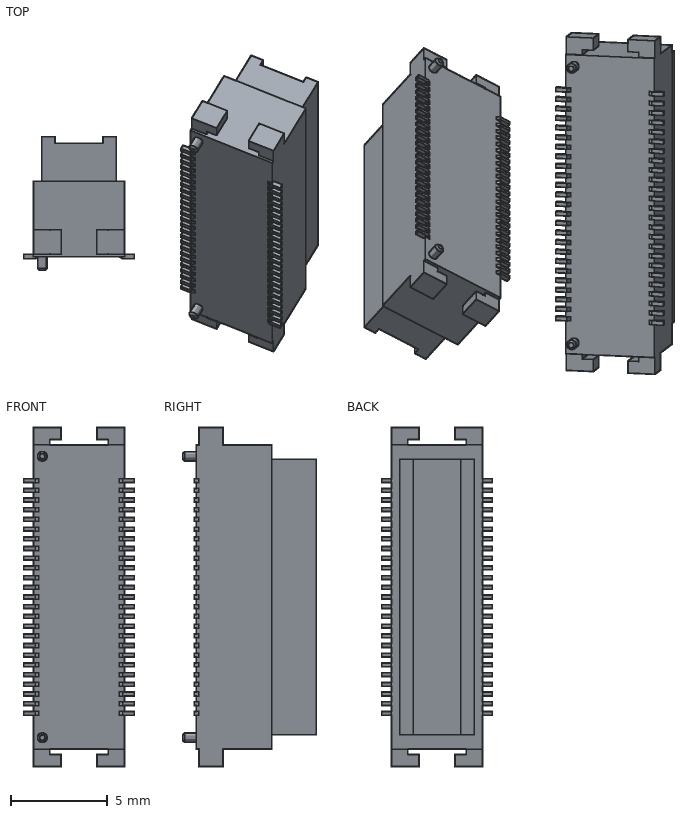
import cadquery as cq

LENGTH = 17.5
SPAN_X = 5.7
DEPTH_Y = 6.9

BODY_WIDTH = 4.7
BODY_DEPTH = 3.9
BODY_LENGTH = 15.7

PEG_DIAMETER = 0.49
PEG_HEIGHT = 0.7
PEG_CHAMFER = 0.1
PEG_X = -1.89
PEG_SPACING = 14.5

PLUG_WIDTH = 3.85
PLUG_DEPTH = DEPTH_Y - BODY_DEPTH - PEG_HEIGHT
PLUG_LENGTH = 14.21
CHANNEL_WIDTH = 2.47
CHANNEL_DEPTH = 0.33

HOOK_WIDTH = 1.44
HOOK_FOOT_WIDTH = 0.85
HOOK_HEIGHT = (LENGTH - BODY_LENGTH) / 2
HOOK_GAP = 0.26
HOOK_DEPTH = 1.25
HOOK_SETBACK = 0.14

TAIL_COUNT = 25
TAIL_ROW_LENGTH = 12.0
TAIL_PITCH = TAIL_ROW_LENGTH / (TAIL_COUNT - 1)
TAIL_WIDTH = 0.21
TAIL_LENGTH = 0.77
TAIL_SETBACK = 0.14
TAIL_STANDOFF = 0.1
TAIL_SLOPE_RUN = 0.18

TIP_Y = -DEPTH_Y / 2
FACE_Y = TIP_Y + PEG_HEIGHT
SHOULDER_Y = FACE_Y + BODY_DEPTH


def block(width, depth, length, start_y):
    """Box centred on X and Z that grows toward +Y from start_y."""
    return cq.Workplane("XY").box(width, depth, length).translate((0, start_y + depth / 2, 0))


def make_plug():
    plug = block(PLUG_WIDTH, PLUG_DEPTH, PLUG_LENGTH, SHOULDER_Y)
    channel_floor_y = SHOULDER_Y + PLUG_DEPTH - CHANNEL_DEPTH
    return plug.cut(block(CHANNEL_WIDTH, CHANNEL_DEPTH, PLUG_LENGTH, channel_floor_y))


def make_hook():
    """Hook at the -X, +Z corner; its toe points inward."""
    outer_x = -BODY_WIDTH / 2
    base_z = BODY_LENGTH / 2
    outline = [
        (outer_x, base_z),
        (outer_x, base_z + HOOK_HEIGHT),
        (outer_x + HOOK_WIDTH, base_z + HOOK_HEIGHT),
        (outer_x + HOOK_WIDTH, base_z + HOOK_GAP),
        (outer_x + HOOK_FOOT_WIDTH, base_z + HOOK_GAP),
        (outer_x + HOOK_FOOT_WIDTH, base_z),
    ]
    plane = cq.Workplane("XZ", origin=(0, FACE_Y + HOOK_SETBACK, 0))
    return plane.polyline(outline).close().extrude(-HOOK_DEPTH)


def make_peg(z):
    plane = cq.Workplane("XZ", origin=(PEG_X, FACE_Y, z))
    return plane.circle(PEG_DIAMETER / 2).extrude(PEG_HEIGHT).faces("<Y").chamfer(PEG_CHAMFER)


def make_tail(z):
    """Tail on the -X side; its inner end slopes back from the soldering surface."""
    outer_x = -SPAN_X / 2
    inner_x = outer_x + TAIL_LENGTH
    top_y = FACE_Y + TAIL_SETBACK
    solder_y = FACE_Y - TAIL_STANDOFF
    outline = [
        (outer_x, top_y),
        (inner_x, top_y),
        (inner_x, FACE_Y),
        (inner_x - TAIL_SLOPE_RUN, solder_y),
        (outer_x, solder_y),
    ]
    plane = cq.Workplane("XY", origin=(0, 0, z - TAIL_WIDTH / 2))
    return plane.polyline(outline).close().extrude(TAIL_WIDTH)


result = block(BODY_WIDTH, BODY_DEPTH, BODY_LENGTH, FACE_Y).union(make_plug())

upper_left_hook = make_hook()
upper_hooks = upper_left_hook.union(upper_left_hook.mirror("YZ"))
result = result.union(upper_hooks).union(upper_hooks.mirror("XY"))

for end in (-1, 1):
    result = result.union(make_peg(end * PEG_SPACING / 2))

for index in range(TAIL_COUNT):
    tail = make_tail(index * TAIL_PITCH - TAIL_ROW_LENGTH / 2)
    result = result.union(tail).union(tail.mirror("YZ"))